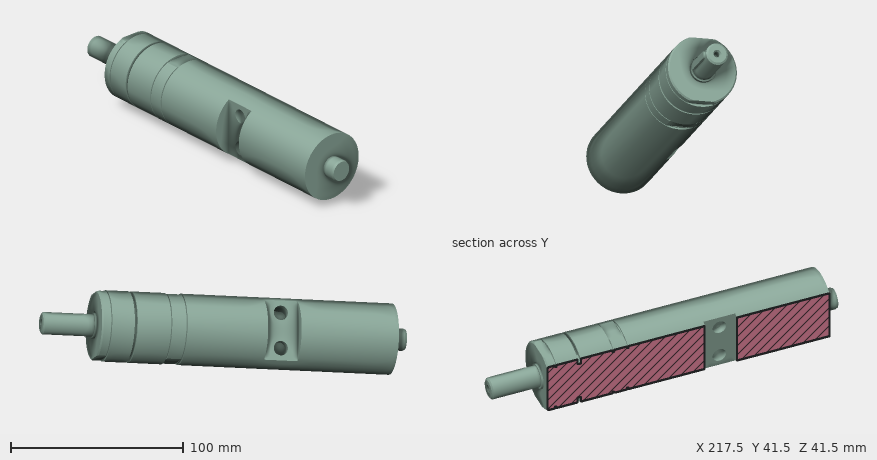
import cadquery as cq

total_length = 217.5

body_dia = 41.5
body_start = 31.5
body_end = 209.0
face_chamfer = 0.9

deep_groove_dia = 36.0
deep_groove_start = 51.0
deep_groove_width = 1.7
shallow_groove_dia = 39.5
shallow_groove_width = 0.7

flats_across = 38.3
front_flat_end = 37.5
rear_flat_start = 72.6
rear_flat_end = 81.8

shaft_dia = 13.0
shaft_chamfer_length = 0.9
shaft_tip_dia = 10.9
collar_dia = 15.0
collar_start = 30.5
clearance_dia = 16.0
clearance_depth = 1.0
centre_hole_dia = 3.3
centre_hole_depth = 6.5
centre_sink_dia = 4.8
centre_sink_angle = 60
centre_tip_length = 0.9
key_start = 2.8
key_end = 27.8
key_width = 4.4
key_top = 7.6

spigot_dia = 13.0
spigot_tip_dia = 12.0
spigot_chamfer_length = 1.3

pocket_start = 130.7
pocket_end = 150.7
pocket_floor = 10.9
port_dia = 8.5
port_spacing = 20.9
core_dia = 28.0
core_y = 6.0
port_depth = pocket_floor + core_y


def rod(diameter, start, end):
    """Round bar along X between two stations."""
    return cq.Workplane("YZ").workplane(offset=start).circle(diameter / 2).extrude(end - start)


def slab(start, end, size_y, size_z, y=0.0, z=0.0):
    """Rectangular block between two stations on X, centred on y and z."""
    block = cq.Workplane("XY").box(end - start, size_y, size_z)
    return block.translate(((start + end) / 2, y, z))


def cut_groove(body, diameter, start, width):
    end = start + width
    return body.cut(rod(body_dia, start, end).cut(rod(diameter, start, end)))


def make_body():
    body = rod(body_dia, body_start, body_end)
    body = body.faces("<X").chamfer(face_chamfer)
    body = cut_groove(body, deep_groove_dia, deep_groove_start, deep_groove_width)
    for start in (front_flat_end - shallow_groove_width, rear_flat_start, rear_flat_end):
        body = cut_groove(body, shallow_groove_dia, start, shallow_groove_width)
    return body.cut(rod(clearance_dia, body_start, body_start + clearance_depth))


def cut_wrench_flats(body):
    for start, end in ((body_start, front_flat_end), (rear_flat_start, rear_flat_end)):
        for side in (1, -1):
            waste = slab(start, end, body_dia, body_dia, z=side * (flats_across + body_dia) / 2)
            body = body.cut(waste)
    return body


def make_key():
    key = cq.Workplane("XZ").slot2D(key_end - key_start, key_width).extrude(-key_top)
    return key.translate(((key_start + key_end) / 2, 0, 0))


def make_drive_shaft():
    base = body_start + clearance_depth
    shaft = rod(shaft_dia, 0, base)
    shaft = shaft.faces("<X").chamfer(shaft_chamfer_length, (shaft_dia - shaft_tip_dia) / 2)
    shaft = shaft.union(rod(collar_dia, collar_start, base))
    shaft = shaft.union(make_key())
    shaft = shaft.faces("<X").workplane(origin=(0, 0, 0)).cskHole(
        centre_hole_dia, centre_sink_dia, centre_sink_angle, depth=centre_hole_depth)
    tip_start = cq.Vector(centre_hole_depth, 0, 0)
    tip = cq.Solid.makeCone(centre_hole_dia / 2, 0, centre_tip_length, tip_start, cq.Vector(1, 0, 0))
    return shaft.cut(cq.Workplane(tip))


def make_spigot():
    spigot = rod(spigot_dia, body_end, total_length)
    return spigot.faces(">X").chamfer(spigot_chamfer_length, (spigot_dia - spigot_tip_dia) / 2)


def cut_pocket(body):
    body = body.cut(slab(pocket_start, pocket_end, body_dia, body_dia, y=-pocket_floor - body_dia / 2))
    core = rod(core_dia, pocket_start, pocket_end).translate((0, core_y, 0))
    middle = (pocket_start + pocket_end) / 2
    for side in (1, -1):
        face = cq.Workplane("XZ", origin=(middle, -pocket_floor, side * port_spacing / 2))
        port = face.circle(port_dia / 2).extrude(-port_depth)
        body = body.cut(port.cut(core))
    return body


body = cut_pocket(cut_wrench_flats(make_body()))
result = body.union(make_drive_shaft()).union(make_spigot()).solids()